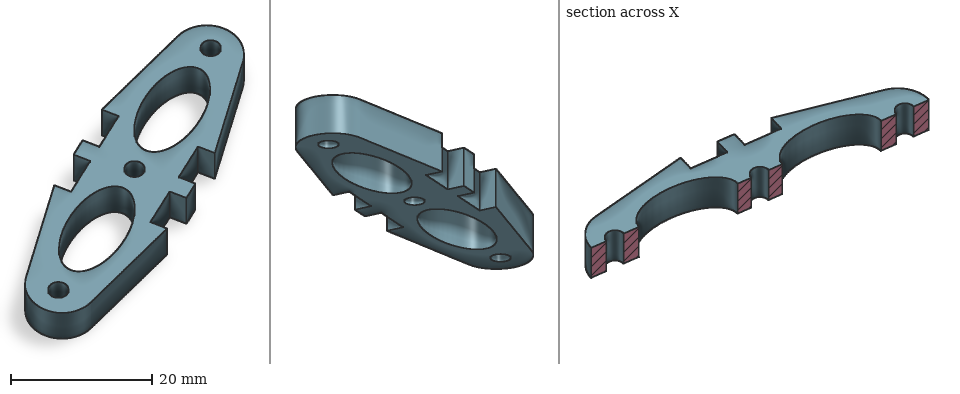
import cadquery as cq

length = 56.9
width = 17.8
thickness = 5.85

end_arc_half_width = 5.1
end_arc_start_y = 24.4

notch_floor_x = 6.25
notch_outer_y = 7.6
tab_width = 2.9

hole_diameter = 2.9
end_hole_y = 24.4
window_center_y = 12.05
window_half_width = 4.4
window_half_length = 8.3


def tapered_body():
    """Plate that tapers from its full-width middle to two rounded ends."""
    half_width = width / 2
    half_length = length / 2
    return (
        cq.Workplane("XY")
        .moveTo(half_width, -notch_outer_y)
        .lineTo(half_width, notch_outer_y)
        .lineTo(end_arc_half_width, end_arc_start_y)
        .threePointArc((0, half_length), (-end_arc_half_width, end_arc_start_y))
        .lineTo(-half_width, notch_outer_y)
        .lineTo(-half_width, -notch_outer_y)
        .lineTo(-end_arc_half_width, -end_arc_start_y)
        .threePointArc((0, -half_length), (end_arc_half_width, -end_arc_start_y))
        .close()
        .extrude(thickness)
    )


def side_notches():
    """Four rectangular cutters that leave a tab in the middle of each side."""
    depth = width / 2 - notch_floor_x
    notch_length = notch_outer_y - tab_width / 2
    center_x = notch_floor_x + depth / 2
    center_y = (notch_outer_y + tab_width / 2) / 2
    centers = [(sx * center_x, sy * center_y) for sx in (-1, 1) for sy in (-1, 1)]
    return cq.Workplane("XY").pushPoints(centers).rect(depth, notch_length).extrude(thickness)


def round_holes():
    """Three through holes along the center line."""
    centers = [(0, -end_hole_y), (0, 0), (0, end_hole_y)]
    return cq.Workplane("XY").pushPoints(centers).circle(hole_diameter / 2).extrude(thickness)


def oval_windows():
    """Two elliptical through windows between the round holes."""
    centers = [(0, -window_center_y), (0, window_center_y)]
    return (
        cq.Workplane("XY")
        .pushPoints(centers)
        .ellipse(window_half_width, window_half_length)
        .extrude(thickness)
    )


result = tapered_body().cut(side_notches()).cut(round_holes()).cut(oval_windows())